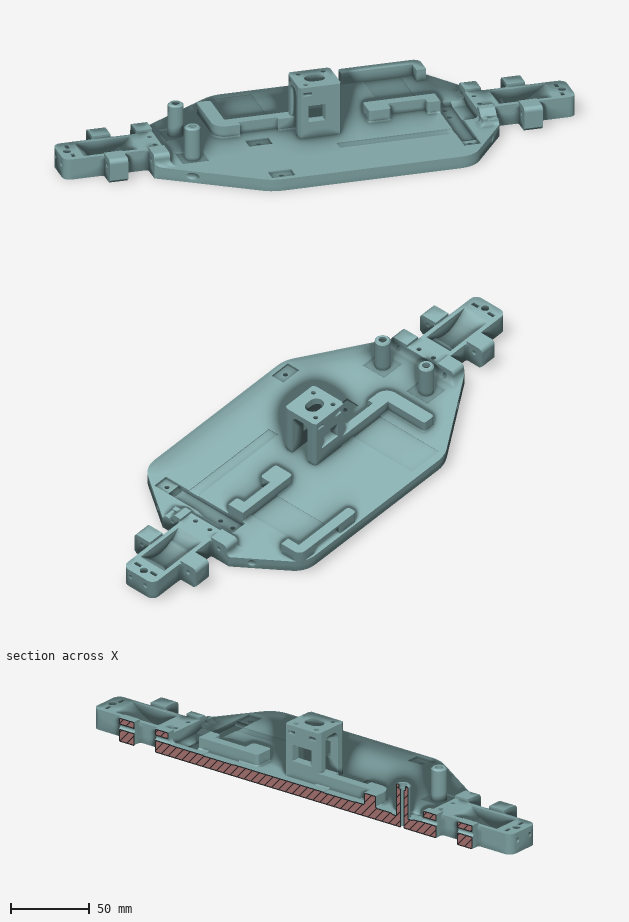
import cadquery as cq

PLATE_HALF_X = 68.0
PLATE_END_Y = 114.3
PLATE_TOP = 8.0
FRONT_HALF_X = 26.5
REAR_HALF_X = 28.0
FRONT_SHOULDER_Y = -48.2
REAR_SHOULDER_Y = 85.8
FRONT_SHOULDER_RADIUS = 23.0
REAR_SHOULDER_RADIUS = 17.5
SIDE_BORE_X = 40.0
SIDE_BORE_Z = 4.5
SIDE_BORE_DIA = 4.6

TOTAL_HALF_Y = 170.0
ARM_HALF_X = 13.0
ARM_TOP = 14.0
ARM_TIP_RADIUS = 5.0
ARM_INNER_Y = 103.8
MOUNT_HALF_X = 26.2
MOUNT_TOP = 16.0
MOUNT_TOP_RADIUS = 3.0
LUG_CENTER_Y = 137.6
LUG_WIDTH = 12.2
LUG_BOTTOM_CHAMFER = 2.0
ARM_CORNER_RADIUS = 1.6
FRONT_FLARE = 4.0
REAR_FLARE = 3.0
PIN_X = 19.5
PIN_Z = 10.0
PIN_DIA = 3.4

RELIEF_SLOPE_X = 17.9
RELIEF_SLOPE_BOTTOM = 12.0
RELIEF_POCKET_X = (22.0, 27.1)
RELIEF_POCKET_Y = 107.2

CAVITY_HALF_X = 10.0
CAVITY_INNER_Y = 119.2
CAVITY_LEDGE_Y = 125.4
CAVITY_OUTER_Y = 156.1
BOWL_HALF_Y = 10.2
BOWL_FLOOR_Z = 4.0
LEDGE_Z = 7.5

SCREW_DIA = 3.2
ARM_SCREW_X = 6.1
ARM_SCREW_Y = 107.6
TIP_SCREW_DIA = 3.3
TIP_SCREW_Z = 8.6
TIP_SCREW_DEPTH = 12.0
TIP_SLOT_X = 6.6
TIP_SLOT_Y = 162.4
TIP_SLOT_LENGTH = 5.2
SLOT_THICKNESS = 2.5
TIP_SLOT_DEPTH = 8.0
TIP_HOLE_Y = 164.3
TIP_COUNTERBORE_DIA = 5.2
TIP_COUNTERBORE_DEPTH = 4.0

TOWER_X = 26.0
TOWER_Y = 28.0
TOWER_TOP = 43.45
TOWER_CHAMFER_X = 2.4
TOWER_CHAMFER_Y = 1.1
ARCH_WIDTH = 13.0
ARCH_TOP = 39.0
ARCH_RADIUS = 4.5
WINDOW_BOTTOM = 19.3
WINDOW_TOP = 30.5
WINDOW_MIN_Y = -7.9
NEAR_WINDOW_MAX_Y = 7.7
FAR_WINDOW_MAX_Y = 3.2
TOP_SLOT_LENGTH = 13.4
TOP_SLOT_WIDTH = 9.7
TOWER_SCREW_OFFSET = 8.3
TOWER_SCREW_DEPTH = 12.0
NUT_SLOT_Z = 38.7
NUT_SLOT_LENGTH = 5.6
NUT_SLOT_DEPTH = 7.5

BAR_TOP = 16.0
BAR_CORNER_RADIUS = 2.0
BAR_SKIRT = 0.8
BAY_DEPTH = 0.3
REAR_BAY_Y = (50.6, 75.4)
FRONT_BAY_Y = (-48.5, -22.9)
SIDE_BAR_X = (-66.3, -59.6)
MID_BAR_X = (-13.0, -6.8)
FRONT_BAY_MIN_X = -62.2
SIDE_BAR_Y = (35.4, 89.4)
SIDE_BAR_TAB_X = -50.4
SIDE_BAR_TAB_Y = 82.9
SIDE_BAR_OUTER_RADIUS = 5.0
SCOOP_AXIS_OFFSET = 2.2
SCOOP_RADIUS = 6.8
REAR_BAR_START_Y = 35.9
REAR_BAR_FOOT_X = 1.3
REAR_BAR_TAB_X = -0.8
FRONT_BAR_END_Y = -12.0
FRONT_BAR_TAB_X = -4.0
FRONT_BAR_FOOT_X = (-43.9, -2.8)
FRONT_BAR_FOOT_Y = (-65.2, -55.9)
FRONT_BAR_BEND_RADIUS = 8.5

CHANNEL_X = (-14.8, 52.1)
CHANNEL_Y = (83.7, 94.8)
CHANNEL_DEPTH = 3.5
CHANNEL_END_DEPTH = 2.0
CHANNEL_RAMP_X = (37.4, 41.8)
CHANNEL_SCREW_X = (-9.3, 0.9, 46.3)
TROUGH_FLOOR_HALF_X = 10.0
TROUGH_DEPTH = 2.0
CABLE_GROOVE_X = (24.7, 32.5)
CABLE_GROOVE_END_Y = 7.0
CABLE_GROOVE_DEPTH = 0.5
SERVO_X = (9.3, 59.4)
SERVO_SCREW_Y = -39.8
SERVO_POCKET = (9.8, 15.5)
SERVO_POCKET_DEPTH = 1.5

POST_X = 18.4
POST_Y = -86.6
POST_DIA = 10.1
POST_TOP = 29.3
POST_CHAMFER = 0.9
POST_RECESS_SIZE = 18.0
POST_RECESS_DEPTH = 0.8
POST_COUNTERBORE_DIA = 5.2
POST_COUNTERBORE_DEPTH = 3.0


def box(x_range, y_range, z_range):
    """Axis-aligned block given by its limits."""
    size = [high - low for low, high in (x_range, y_range, z_range)]
    corner = (x_range[0], y_range[0], z_range[0])
    return cq.Workplane("XY").box(*size, centered=False).translate(corner)


def vertical_hole(x, y, diameter, bottom, top):
    return cq.Workplane("XY", origin=(x, y, bottom)).circle(diameter / 2).extrude(top - bottom)


def hole_along_y(x, z, diameter, y_start, y_end):
    length = y_end - y_start
    return cq.Workplane("XZ", origin=(x, y_start, z)).circle(diameter / 2).extrude(-length)


def round_corner(body, x, y, radius):
    """Fillet the vertical edge of the body at (x, y)."""
    reach = 0.1
    near_edge = cq.selectors.BoxSelector(
        (x - reach, y - reach, -reach), (x + reach, y + reach, TOWER_TOP))
    return body.edges("|Z").edges(near_edge).fillet(radius)


def make_plate(height):
    outline = [
        (-FRONT_HALF_X, -PLATE_END_Y),
        (FRONT_HALF_X, -PLATE_END_Y),
        (PLATE_HALF_X, FRONT_SHOULDER_Y),
        (PLATE_HALF_X, REAR_SHOULDER_Y),
        (REAR_HALF_X, PLATE_END_Y),
        (-REAR_HALF_X, PLATE_END_Y),
        (-PLATE_HALF_X, REAR_SHOULDER_Y),
        (-PLATE_HALF_X, FRONT_SHOULDER_Y),
    ]
    plate = cq.Workplane("XY").polyline(outline).close().extrude(height)
    for side in (-1, 1):
        plate = round_corner(plate, side * PLATE_HALF_X, FRONT_SHOULDER_Y, FRONT_SHOULDER_RADIUS)
        plate = round_corner(plate, side * PLATE_HALF_X, REAR_SHOULDER_Y, REAR_SHOULDER_RADIUS)
    return plate


def make_mount(y_range):
    """Cross block with rounded top edges that carries a hinge pin."""
    mount = box((-MOUNT_HALF_X, MOUNT_HALF_X), y_range, (0, MOUNT_TOP))
    return mount.edges("|Y and >Z").fillet(MOUNT_TOP_RADIUS)


def make_flare(width):
    """Concave fillet between the inner mount and the plate, along its inner face and both ends."""
    flare = box((-MOUNT_HALF_X - width, MOUNT_HALF_X + width),
                (ARM_INNER_Y - width, PLATE_END_Y), (PLATE_TOP, PLATE_TOP + width))
    axis_z = PLATE_TOP + width
    inner_axis = cq.Workplane("YZ", origin=(-PLATE_HALF_X, ARM_INNER_Y - width, axis_z))
    flare = flare.cut(inner_axis.circle(width).extrude(2 * PLATE_HALF_X))
    for side in (-1, 1):
        flare = flare.cut(hole_along_y(side * (MOUNT_HALF_X + width), axis_z, 2 * width, 0, TOTAL_HALF_Y))
    return flare


def make_arm():
    """Arm pointing along +Y, with its outer lugs and the mount at the plate edge."""
    arm = box((-ARM_HALF_X, ARM_HALF_X), (ARM_INNER_Y, TOTAL_HALF_Y), (0, ARM_TOP))
    arm = arm.edges("|Z and >Y").fillet(ARM_TIP_RADIUS)
    lugs = make_mount((LUG_CENTER_Y - LUG_WIDTH / 2, LUG_CENTER_Y + LUG_WIDTH / 2))
    lugs = lugs.edges("|Y and <Z").chamfer(LUG_BOTTOM_CHAMFER)
    blocks = lugs.union(make_mount((ARM_INNER_Y, PLATE_END_Y)))
    blocks = blocks.cut(box((-ARM_HALF_X, ARM_HALF_X), (0, TOTAL_HALF_Y), (ARM_TOP, MOUNT_TOP)))
    arm = arm.union(blocks)
    for side in (-1, 1):
        for y, outward in (
            (PLATE_END_Y, 1),
            (LUG_CENTER_Y - LUG_WIDTH / 2, -1),
            (LUG_CENTER_Y + LUG_WIDTH / 2, 1),
        ):
            arm = arm.union(make_corner_fillet(side, y, outward))
    return arm


def make_corner_fillet(side, y, outward):
    """Concave vertical fillet where a mount face at y meets the side of the arm."""
    x = side * ARM_HALF_X
    far_x = x + side * ARM_CORNER_RADIUS
    far_y = y + outward * ARM_CORNER_RADIUS
    corner = box(sorted((x, far_x)), sorted((y, far_y)), (0, ARM_TOP))
    return corner.cut(vertical_hole(far_x, far_y, 2 * ARM_CORNER_RADIUS, 0, ARM_TOP))


def make_arm_cuts():
    """Gear cavity, screw holes and nut slots of the arm pointing along +Y."""
    cuts = (
        cq.Workplane("YZ", origin=(-CAVITY_HALF_X, 0, 0))
        .moveTo(CAVITY_INNER_Y, ARM_TOP)
        .lineTo(CAVITY_LEDGE_Y, LEDGE_Z)
        .lineTo(LUG_CENTER_Y - BOWL_HALF_Y, LEDGE_Z)
        .threePointArc((LUG_CENTER_Y, BOWL_FLOOR_Z), (LUG_CENTER_Y + BOWL_HALF_Y, LEDGE_Z))
        .lineTo(CAVITY_OUTER_Y, ARM_TOP)
        .close()
        .extrude(2 * CAVITY_HALF_X)
    )
    cuts = cuts.union(vertical_hole(0, TIP_HOLE_Y, SCREW_DIA, 0, ARM_TOP))
    cuts = cuts.union(vertical_hole(
        0, TIP_HOLE_Y, TIP_COUNTERBORE_DIA, ARM_TOP - TIP_COUNTERBORE_DEPTH, ARM_TOP))
    for side in (-1, 1):
        cuts = cuts.union(vertical_hole(side * ARM_SCREW_X, ARM_SCREW_Y, SCREW_DIA, 0, ARM_TOP))
        cuts = cuts.union(hole_along_y(
            side * ARM_SCREW_X, TIP_SCREW_Z, TIP_SCREW_DIA, TOTAL_HALF_Y - TIP_SCREW_DEPTH, TOTAL_HALF_Y))
        slot = cq.Workplane("XY").box(TIP_SLOT_LENGTH, SLOT_THICKNESS, TIP_SLOT_DEPTH)
        cuts = cuts.union(slot.translate((side * TIP_SLOT_X, TIP_SLOT_Y, ARM_TOP - TIP_SLOT_DEPTH / 2)))
        lug_outer_y = LUG_CENTER_Y + LUG_WIDTH / 2
        cuts = cuts.union(hole_along_y(side * PIN_X, PIN_Z, PIN_DIA, ARM_INNER_Y - FRONT_FLARE, lug_outer_y))
    return cuts


def make_relief_cuts():
    """Slope and pocket that clear the +X side of the rear inner mount."""
    slope = (
        cq.Workplane("XZ", origin=(0, ARM_INNER_Y, 0))
        .moveTo(RELIEF_SLOPE_X, MOUNT_TOP)
        .lineTo(RELIEF_POCKET_X[0], RELIEF_SLOPE_BOTTOM)
        .lineTo(RELIEF_POCKET_X[1], RELIEF_SLOPE_BOTTOM)
        .lineTo(RELIEF_POCKET_X[1], MOUNT_TOP)
        .close()
        .extrude(ARM_INNER_Y - PLATE_END_Y)
    )
    return slope.union(box(RELIEF_POCKET_X, (RELIEF_POCKET_Y, PLATE_END_Y), (PLATE_TOP, MOUNT_TOP)))


def make_bar(outline, rounded_corners):
    """Bar standing on the plate; rounded_corners maps outline points to fillet radii."""
    bar = cq.Workplane("XY", origin=(0, 0, PLATE_TOP)).polyline(outline).close().extrude(BAR_TOP - PLATE_TOP)
    for (x, y), radius in rounded_corners.items():
        bar = round_corner(bar, x, y, radius)
    return bar


def add_skirt(bar, clear_y):
    """Chamfered skirt around the foot of a bar, except along its bay (clear_y) and over the channel."""
    foot = cq.Workplane("XY", origin=(0, 0, PLATE_TOP)).add(bar.faces("<Z").wires().vals()).toPending()
    skirt = foot.offset2D(BAR_SKIRT, "intersection").extrude(BAR_SKIRT, taper=45)
    bay_gap = box((-PLATE_HALF_X, PLATE_HALF_X), clear_y, (PLATE_TOP, BAR_TOP))
    channel_gap = box((-PLATE_HALF_X, PLATE_HALF_X), CHANNEL_Y, (PLATE_TOP, BAR_TOP))
    return bar.union(skirt.cut(bay_gap).cut(channel_gap))


def make_side_bar():
    outer_x, inner_x = SIDE_BAR_X
    start_y, end_y = SIDE_BAR_Y
    outline = [
        (outer_x, start_y),
        (inner_x, start_y),
        (inner_x, SIDE_BAR_TAB_Y),
        (SIDE_BAR_TAB_X, SIDE_BAR_TAB_Y),
        (SIDE_BAR_TAB_X, end_y),
        (outer_x, end_y),
    ]
    rounded = {outline[n]: BAR_CORNER_RADIUS for n in (0, 1)}
    rounded[outline[5]] = SIDE_BAR_OUTER_RADIUS
    bar = make_bar(outline, rounded)
    scoop = hole_along_y(outer_x - SCOOP_AXIS_OFFSET, PLATE_TOP, 2 * SCOOP_RADIUS, *REAR_BAY_Y)
    return bar.cut(scoop)


def make_rear_bar():
    outer_x, inner_x = MID_BAR_X
    start_y = REAR_BAR_START_Y
    end_y = CHANNEL_Y[0]
    foot_y, tab_y = REAR_BAY_Y
    outline = [
        (outer_x, start_y),
        (REAR_BAR_FOOT_X, start_y),
        (REAR_BAR_FOOT_X, foot_y),
        (inner_x, foot_y),
        (inner_x, tab_y),
        (REAR_BAR_TAB_X, tab_y),
        (REAR_BAR_TAB_X, end_y),
        (outer_x, end_y),
    ]
    rounded = {outline[n]: BAR_CORNER_RADIUS for n in (0, 1, 2, 5)}
    return add_skirt(make_bar(outline, rounded), REAR_BAY_Y)


def make_front_bar():
    outer_x, inner_x = MID_BAR_X
    foot_y, leg_y = FRONT_BAR_FOOT_Y
    outline = [
        (outer_x, FRONT_BAR_END_Y),
        (FRONT_BAR_TAB_X, FRONT_BAR_END_Y),
        (FRONT_BAR_TAB_X, FRONT_BAY_Y[1]),
        (inner_x, FRONT_BAY_Y[1]),
        (inner_x, FRONT_BAY_Y[0]),
        (FRONT_BAR_FOOT_X[1], FRONT_BAY_Y[0]),
        (FRONT_BAR_FOOT_X[1], foot_y),
        (FRONT_BAR_FOOT_X[0], foot_y),
        (FRONT_BAR_FOOT_X[0], leg_y),
        (outer_x, leg_y),
    ]
    rounded = {outline[n]: BAR_CORNER_RADIUS for n in (7, 8)}
    rounded[outline[6]] = FRONT_BAR_BEND_RADIUS
    return add_skirt(make_bar(outline, rounded), FRONT_BAY_Y)


def make_tower():
    half_x = TOWER_X / 2
    half_y = TOWER_Y / 2
    tower = (
        cq.Workplane("XY", origin=(0, 0, PLATE_TOP))
        .moveTo(half_x, -half_y + TOWER_CHAMFER_Y)
        .lineTo(half_x, half_y - TOWER_CHAMFER_Y)
        .lineTo(half_x - TOWER_CHAMFER_X, half_y)
        .lineTo(-half_x + TOWER_CHAMFER_X, half_y)
        .lineTo(-half_x, half_y - TOWER_CHAMFER_Y)
        .lineTo(-half_x, -half_y + TOWER_CHAMFER_Y)
        .lineTo(-half_x + TOWER_CHAMFER_X, -half_y)
        .lineTo(half_x - TOWER_CHAMFER_X, -half_y)
        .close()
        .extrude(TOWER_TOP - PLATE_TOP)
    )
    arch_half_x = ARCH_WIDTH / 2
    arch = box((-arch_half_x, arch_half_x), (-half_y, half_y), (PLATE_TOP, ARCH_TOP))
    tower = tower.cut(arch.edges("|Y and >Z").fillet(ARCH_RADIUS))
    window_z = (WINDOW_BOTTOM, WINDOW_TOP)
    tower = tower.cut(box((-half_x, 0), (WINDOW_MIN_Y, NEAR_WINDOW_MAX_Y), window_z))
    tower = tower.cut(box((0, half_x), (WINDOW_MIN_Y, FAR_WINDOW_MAX_Y), window_z))
    slot_bottom = ARCH_TOP - ARCH_RADIUS
    shaft_slot = cq.Workplane("XY", origin=(0, 0, slot_bottom)).slot2D(TOP_SLOT_LENGTH, TOP_SLOT_WIDTH, 90)
    tower = tower.cut(shaft_slot.extrude(TOWER_TOP - slot_bottom))
    for side_x, side_y in ((-1, -1), (-1, 1), (1, -1)):
        x = side_x * TOWER_SCREW_OFFSET
        y = side_y * TOWER_SCREW_OFFSET
        tower = tower.cut(vertical_hole(x, y, SCREW_DIA, TOWER_TOP - TOWER_SCREW_DEPTH, TOWER_TOP))
        slot = cq.Workplane("XY").box(NUT_SLOT_DEPTH, NUT_SLOT_LENGTH, SLOT_THICKNESS)
        tower = tower.cut(slot.translate((side_x * (half_x - NUT_SLOT_DEPTH / 2), y, NUT_SLOT_Z)))
    return tower


def make_post(x):
    post = vertical_hole(x, POST_Y, POST_DIA, PLATE_TOP - POST_RECESS_DEPTH, POST_TOP)
    return post.faces(">Z").edges().chamfer(POST_CHAMFER)


def make_post_recess(x):
    """Square recess with sloping walls around the foot of a post."""
    floor_z = PLATE_TOP - POST_RECESS_DEPTH
    return (
        cq.Workplane("XY", origin=(x, POST_Y, PLATE_TOP))
        .rect(POST_RECESS_SIZE, POST_RECESS_SIZE)
        .workplane(offset=floor_z - PLATE_TOP)
        .rect(POST_RECESS_SIZE - 2 * POST_RECESS_DEPTH, POST_RECESS_SIZE - 2 * POST_RECESS_DEPTH)
        .loft()
    )


def make_post_hole(x):
    hole = vertical_hole(x, POST_Y, SCREW_DIA, 0, POST_TOP)
    counterbore = vertical_hole(
        x, POST_Y, POST_COUNTERBORE_DIA, POST_TOP - POST_COUNTERBORE_DEPTH, POST_TOP)
    return hole.union(counterbore)


def make_channel_cuts():
    """Cross channel with a ramp to its shallower end, and the trough beside the rear arm."""
    start_y, end_y = CHANNEL_Y
    channel = (
        cq.Workplane("XZ", origin=(0, start_y, 0))
        .moveTo(CHANNEL_X[0], PLATE_TOP)
        .lineTo(CHANNEL_X[0], PLATE_TOP - CHANNEL_DEPTH)
        .lineTo(CHANNEL_RAMP_X[0], PLATE_TOP - CHANNEL_DEPTH)
        .lineTo(CHANNEL_RAMP_X[1], PLATE_TOP - CHANNEL_END_DEPTH)
        .lineTo(CHANNEL_X[1], PLATE_TOP - CHANNEL_END_DEPTH)
        .lineTo(CHANNEL_X[1], PLATE_TOP)
        .close()
        .extrude(start_y - end_y)
    )
    trough_half_x = -CHANNEL_X[0]
    trough = (
        cq.Workplane("XZ", origin=(0, end_y, 0))
        .moveTo(-trough_half_x, PLATE_TOP)
        .lineTo(-TROUGH_FLOOR_HALF_X, PLATE_TOP - TROUGH_DEPTH)
        .lineTo(TROUGH_FLOOR_HALF_X, PLATE_TOP - TROUGH_DEPTH)
        .lineTo(trough_half_x, PLATE_TOP)
        .lineTo(trough_half_x, PLATE_TOP + REAR_FLARE)
        .lineTo(-trough_half_x, PLATE_TOP + REAR_FLARE)
        .close()
        .extrude(end_y - ARM_INNER_Y)
    )
    cuts = channel.union(trough)
    for x in CHANNEL_SCREW_X:
        cuts = cuts.union(vertical_hole(x, sum(CHANNEL_Y) / 2, SCREW_DIA, 0, PLATE_TOP))
    return cuts


def make_plate_recesses():
    """Shallow battery bays, cable groove, servo pockets and the long bores along Y."""
    groove_z = (PLATE_TOP - CABLE_GROOVE_DEPTH, PLATE_TOP)
    bay_z = (PLATE_TOP - BAY_DEPTH, PLATE_TOP)
    cuts = box(CABLE_GROOVE_X, (CABLE_GROOVE_END_Y, CHANNEL_Y[0]), groove_z)
    cuts = cuts.union(box((SIDE_BAR_X[1], MID_BAR_X[0]), REAR_BAY_Y, bay_z))
    cuts = cuts.union(box((FRONT_BAY_MIN_X, MID_BAR_X[0]), FRONT_BAY_Y, bay_z))
    for x in SERVO_X:
        pocket = cq.Workplane("XY").box(*SERVO_POCKET, SERVO_POCKET_DEPTH)
        cuts = cuts.union(pocket.translate((x, SERVO_SCREW_Y, PLATE_TOP - SERVO_POCKET_DEPTH / 2)))
        cuts = cuts.union(vertical_hole(x, SERVO_SCREW_Y, SCREW_DIA, 0, PLATE_TOP))
    for side in (-1, 1):
        bore = hole_along_y(side * SIDE_BORE_X, SIDE_BORE_Z, SIDE_BORE_DIA, -PLATE_END_Y, PLATE_END_Y)
        cuts = cuts.union(bore)
    return cuts


body = make_plate(PLATE_TOP)
flares = make_flare(REAR_FLARE).union(make_flare(FRONT_FLARE).rotate((0, 0, 0), (0, 0, 1), 180))
body = body.union(flares.intersect(make_plate(MOUNT_TOP)))

body = body.cut(make_channel_cuts()).cut(make_plate_recesses())
for side in (-1, 1):
    body = body.cut(make_post_recess(side * POST_X))
    body = body.union(make_post(side * POST_X)).cut(make_post_hole(side * POST_X))

arm = make_arm()
arm_cuts = make_arm_cuts()
body = body.union(arm.cut(make_relief_cuts())).union(arm.rotate((0, 0, 0), (0, 0, 1), 180))
body = body.cut(arm_cuts).cut(arm_cuts.rotate((0, 0, 0), (0, 0, 1), 180))

for part in (make_tower(), make_side_bar(), make_rear_bar(), make_front_bar()):
    body = body.union(part)

result = body